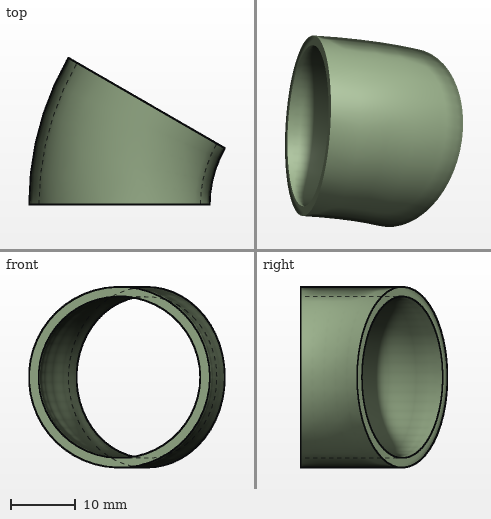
import cadquery as cq

OUTER_DIAMETER = 28.0
WALL = 1.5
BEND_RADIUS = 31.5
BEND_ANGLE = 30.0

outer_radius = OUTER_DIAMETER / 2
inner_radius = outer_radius - WALL


def make_elbow():
    """Sweep the tube ring about a vertical bend axis on its +X side, towards +Y."""
    ring = cq.Workplane("XZ").circle(outer_radius).circle(inner_radius)
    return ring.revolve(BEND_ANGLE, (BEND_RADIUS, 1, 0), (BEND_RADIUS, 0, 0))


result = make_elbow()